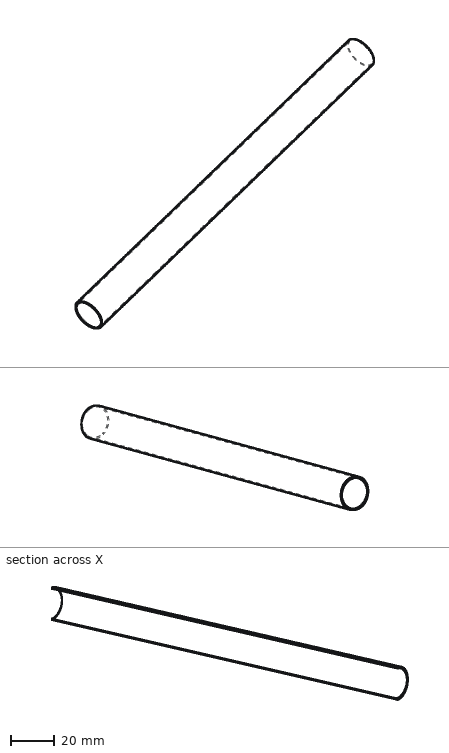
import cadquery as cq

tube_length = 203.2
outer_diameter = 15.8
wall_thickness = 0.71

outer_radius = outer_diameter / 2
inner_radius = outer_radius - wall_thickness

result = (
    cq.Workplane("XZ", origin=(0, tube_length / 2, 0))
    .circle(outer_radius)
    .circle(inner_radius)
    .extrude(tube_length)
)